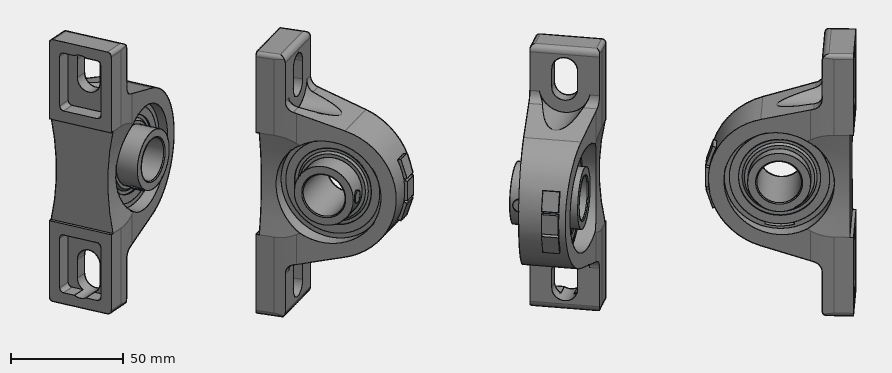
import cadquery as cq
import math


FOOT_LENGTH = 127.0
FOOT_WIDTH = 32.0
FOOT_HEIGHT = 14.0
AXIS_HEIGHT = 33.3
FOOT_CORNER_RADIUS = 2.0
FOOT_END_RADIUS = 3.0
FOOT_BOTTOM = -AXIS_HEIGHT
FOOT_TOP = FOOT_BOTTOM + FOOT_HEIGHT

ARCH_RADIUS = 31.7
FLANK_ANGLE = math.radians(15.0)
FLANK_FILLET = 5.0
SIDE_DRAFT = math.radians(6.0)
SIDE_BLEND_RADIUS = 100.0

COUNTERBORE_DIAMETER = 49.35
LOADING_SLOT_WIDTH = 13.1

WAIST_HALF_LENGTH = COUNTERBORE_DIAMETER / 2
WAIST_DEPTH = 2.7
RELIEF_DEPTH = 1.6
POCKET_MARGIN = 5.4
POCKET_DEPTH = 7.5
POCKET_CORNER_RADIUS = 2.0
SLOT_WIDTH = 11.7
SLOT_LENGTH = 20.6
SLOT_CENTER_Z = 48.6
WASHER_CLEARANCE_RADIUS = 11.7

PAD_TOP_RADIUS = 33.05
PAD_LENGTH = 9.4
PAD_WIDTH = 7.65
PAD_ANGLES = (-18.5, 0.0, 18.5)
PAD_ROOT = 2.0

SPHERE_RADIUS = 23.5
OUTER_RING_HALF_WIDTH = 7.0
OUTER_RING_BORE_RADIUS = 36.67 / 2
SHIELD_RECESS = 0.6
FLINGER_BASE_RADIUS = 16.75
FLINGER_TOP_RADIUS = 15.7
FLINGER_HEIGHT = 0.9
INNER_RING_RADIUS = 28.2 / 2
INNER_RING_SHORT_SIDE = 12.7
INNER_RING_LONG_SIDE = 18.3
BORE_RADIUS = 20.0 / 2
BORE_CHAMFER = 0.5

SCREW_DIAMETER = 6.0
SCREW_TO_FACE = 4.5
SCREW_X = INNER_RING_LONG_SIDE - SCREW_TO_FACE
SCREW_TIP_RADIUS = 14.5
SCREW_ROOT_RADIUS = 12.0
SCREW_ANGLES = (0.0, 240.0)

PICK_TOLERANCE = 0.01


def fillet_foot_top(profile, edge_z, radius):
    """Round the two edges that run along X on the foot's top face at Z = +edge_z and -edge_z."""
    edges = profile.edges("|X").filter(lambda e: abs(e.Center().y - FOOT_TOP) < PICK_TOLERANCE)
    edges = edges.filter(lambda e: abs(abs(e.Center().z) - edge_z) < PICK_TOLERANCE)
    return edges.fillet(radius)


def arch_profile():
    """Foot and arch as seen along the bore, extruded well past the foot width."""
    tangent_y = ARCH_RADIUS * math.sin(FLANK_ANGLE)
    tangent_z = ARCH_RADIUS * math.cos(FLANK_ANGLE)
    flank_z = tangent_z + (tangent_y - FOOT_TOP) * math.tan(FLANK_ANGLE)
    end_z = FOOT_LENGTH / 2
    profile = (
        cq.Workplane("YZ")
        .moveTo(FOOT_BOTTOM, -end_z)
        .lineTo(FOOT_TOP, -end_z)
        .lineTo(FOOT_TOP, -flank_z)
        .lineTo(tangent_y, -tangent_z)
        .threePointArc((ARCH_RADIUS, 0), (tangent_y, tangent_z))
        .lineTo(FOOT_TOP, flank_z)
        .lineTo(FOOT_TOP, end_z)
        .lineTo(FOOT_BOTTOM, end_z)
        .close()
        .extrude(FOOT_WIDTH, both=True)
    )
    profile = fillet_foot_top(profile, end_z, FOOT_END_RADIUS)
    return fillet_foot_top(profile, flank_z, FLANK_FILLET)


def draft_envelope():
    """Section across the bore: upright foot sides blending into the drafted arch sides."""
    half_foot = FOOT_WIDTH / 2
    half_crown = half_foot - (PAD_TOP_RADIUS - FOOT_TOP) * math.tan(SIDE_DRAFT)
    envelope = (
        cq.Workplane("XY")
        .polyline([
            (-half_foot, FOOT_BOTTOM),
            (half_foot, FOOT_BOTTOM),
            (half_foot, FOOT_TOP),
            (half_crown, PAD_TOP_RADIUS),
            (-half_crown, PAD_TOP_RADIUS),
            (-half_foot, FOOT_TOP),
        ])
        .close()
        .extrude(FOOT_LENGTH / 2, both=True)
    )
    side_bends = envelope.edges("|Z").filter(lambda e: abs(e.Center().y - FOOT_TOP) < PICK_TOLERANCE)
    return side_bends.fillet(SIDE_BLEND_RADIUS)


def plan_envelope():
    """Foot outline with rounded corners, tall enough to hold the whole housing."""
    return (
        cq.Workplane("XZ", origin=(0, PAD_TOP_RADIUS, 0))
        .rect(FOOT_WIDTH, FOOT_LENGTH)
        .extrude(PAD_TOP_RADIUS + AXIS_HEIGHT)
        .edges("|Y")
        .fillet(FOOT_CORNER_RADIUS)
    )


def waist_cutters():
    """Large cylinders that hollow both sides of the foot between the mounting ends."""
    radius = (WAIST_HALF_LENGTH**2 + WAIST_DEPTH**2) / (2 * WAIST_DEPTH)
    center_x = FOOT_WIDTH / 2 - WAIST_DEPTH + radius
    return (
        cq.Workplane("XZ")
        .pushPoints([(-center_x, 0), (center_x, 0)])
        .circle(radius)
        .extrude(AXIS_HEIGHT)
    )


def bottom_relief():
    """Shallow channel that leaves the foot standing on its two ends."""
    return cq.Workplane("XY").box(
        FOOT_WIDTH, 2 * RELIEF_DEPTH, 2 * WAIST_HALF_LENGTH
    ).translate((0, FOOT_BOTTOM, 0))


def mounting_end_cutters(side):
    """Underside pocket, bolt slot and washer clearance at one end (side = +1 or -1 along Z)."""
    end_length = FOOT_LENGTH / 2 - WAIST_HALF_LENGTH
    pocket_z = side * (FOOT_LENGTH / 2 - end_length / 2)
    pocket = (
        cq.Workplane("XZ", origin=(0, FOOT_BOTTOM, pocket_z))
        .rect(FOOT_WIDTH - 2 * POCKET_MARGIN, end_length - 2 * POCKET_MARGIN)
        .extrude(-POCKET_DEPTH)
        .edges("|Y")
        .fillet(POCKET_CORNER_RADIUS)
    )
    slot = (
        cq.Workplane("XZ", origin=(0, FOOT_BOTTOM, side * SLOT_CENTER_Z))
        .slot2D(SLOT_LENGTH, SLOT_WIDTH, 90)
        .extrude(-FOOT_HEIGHT)
    )
    slot_inner_z = side * (SLOT_CENTER_Z - (SLOT_LENGTH - SLOT_WIDTH) / 2)
    washer_clearance = (
        cq.Workplane("XZ", origin=(0, FOOT_TOP, slot_inner_z))
        .circle(WASHER_CLEARANCE_RADIUS)
        .extrude(-(ARCH_RADIUS - FOOT_TOP))
    )
    return pocket, slot, washer_clearance


def outer_ring():
    """Solid spherical ring blank of the insert, also the shape of its seat in the housing."""
    face_radius = math.sqrt(SPHERE_RADIUS**2 - OUTER_RING_HALF_WIDTH**2)
    return (
        cq.Workplane("XY")
        .moveTo(-OUTER_RING_HALF_WIDTH, 0)
        .lineTo(-OUTER_RING_HALF_WIDTH, face_radius)
        .threePointArc((0, SPHERE_RADIUS), (OUTER_RING_HALF_WIDTH, face_radius))
        .lineTo(OUTER_RING_HALF_WIDTH, 0)
        .close()
        .revolve(360, (0, 0, 0), (1, 0, 0))
    )


def counterbore(side):
    """Wide bore from one face of the housing down to the seat (side = +1 or -1 along X)."""
    return (
        cq.Workplane("YZ", origin=(side * OUTER_RING_HALF_WIDTH, 0, 0))
        .circle(COUNTERBORE_DIAMETER / 2)
        .extrude(side * FOOT_WIDTH)
    )


def loading_slots():
    """Opposite slots that let the insert be slipped in sideways from the -X side."""
    return (
        cq.Workplane("YZ")
        .circle(SPHERE_RADIUS)
        .extrude(-OUTER_RING_HALF_WIDTH)
        .intersect(cq.Workplane("XY").box(FOOT_WIDTH, LOADING_SLOT_WIDTH, FOOT_LENGTH))
    )


def crown_pads():
    """Flat raised pads set side by side around the crown, their outer face at PAD_TOP_RADIUS."""
    pad_height = PAD_TOP_RADIUS - ARCH_RADIUS + PAD_ROOT
    pad = cq.Workplane("XY").box(PAD_WIDTH, pad_height, PAD_LENGTH).translate(
        (-PAD_WIDTH / 2, PAD_TOP_RADIUS - pad_height / 2, 0)
    )
    return [pad.rotate((0, 0, 0), (1, 0, 0), angle) for angle in PAD_ANGLES]


def make_housing():
    housing = arch_profile().intersect(draft_envelope()).intersect(plan_envelope())
    housing = housing.cut(waist_cutters()).cut(bottom_relief())
    for side in (1, -1):
        for cutter in mounting_end_cutters(side):
            housing = housing.cut(cutter)
    for pad in crown_pads():
        housing = housing.union(pad)
    for side in (1, -1):
        housing = housing.cut(counterbore(side))
    return housing.cut(loading_slots()).cut(outer_ring())


def insert_side(side, ring_end):
    """Flinger and inner ring on one side of the outer ring (side = +1 or -1 along X)."""
    shield_x = OUTER_RING_HALF_WIDTH - SHIELD_RECESS
    flinger_x = shield_x + FLINGER_HEIGHT
    return (
        cq.Workplane("XY")
        .polyline([
            (0, 0),
            (0, FLINGER_BASE_RADIUS),
            (side * shield_x, FLINGER_BASE_RADIUS),
            (side * flinger_x, FLINGER_TOP_RADIUS),
            (side * flinger_x, INNER_RING_RADIUS),
            (side * ring_end, INNER_RING_RADIUS),
            (side * ring_end, 0),
        ])
        .close()
        .revolve(360, (0, 0, 0), (1, 0, 0))
    )


def grub_screws():
    """Screw ends standing slightly proud of the inner ring."""
    screw = (
        cq.Workplane("XZ", origin=(SCREW_X, SCREW_ROOT_RADIUS, 0))
        .circle(SCREW_DIAMETER / 2)
        .extrude(-(SCREW_TIP_RADIUS - SCREW_ROOT_RADIUS))
    )
    return [screw.rotate((0, 0, 0), (1, 0, 0), angle) for angle in SCREW_ANGLES]


def make_insert():
    insert = outer_ring()
    for side, ring_end in ((-1, INNER_RING_SHORT_SIDE), (1, INNER_RING_LONG_SIDE)):
        recess = (
            cq.Workplane("YZ", origin=(side * OUTER_RING_HALF_WIDTH, 0, 0))
            .circle(OUTER_RING_BORE_RADIUS)
            .extrude(-side * SHIELD_RECESS)
        )
        insert = insert.cut(recess).union(insert_side(side, ring_end))
    for screw in grub_screws():
        insert = insert.union(screw)
    bore = (
        cq.Workplane("YZ", origin=(-INNER_RING_SHORT_SIDE, 0, 0))
        .circle(BORE_RADIUS)
        .extrude(INNER_RING_SHORT_SIDE + INNER_RING_LONG_SIDE)
    )
    bore_rims = insert.cut(bore).faces("<X or >X").edges("%CIRCLE")
    return bore_rims.filter(lambda e: e.radius() < INNER_RING_RADIUS - BORE_CHAMFER).chamfer(BORE_CHAMFER)


housing = make_housing()
insert = make_insert()
result = cq.Compound.makeCompound([housing.val(), insert.val()])